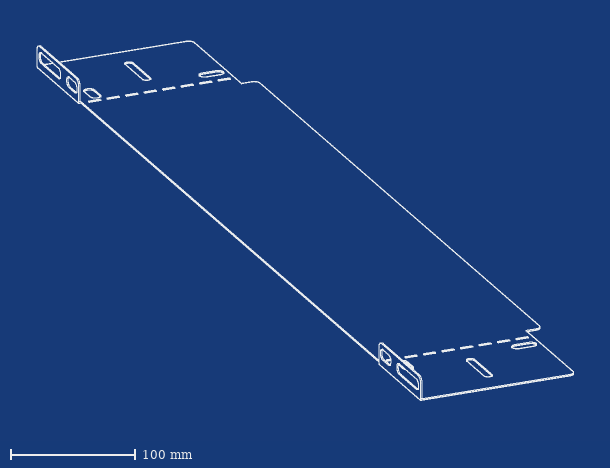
import cadquery as cq

length = 774.0
depth = 150.0
height = 20.0
thickness = 1.25

half_length = length / 2
tab_depth = 136.0
tongue_inset = 100.0
panel_front_gap = 2.0
corner_radius = 5.0

flange_length = 84.0
flange_hole_height = 11.0

slot_width = 9.0
short_slot_length = 21.0
short_slot_inset = 71.5
rear_slot_y = 122.0
front_slot_y = 17.5
middle_slot_length = 42.0
middle_slot_width = 7.0
middle_slot_inset = 42.5
middle_slot_y = 70.0
flange_slot_length = 44.0
flange_slot_inset = 26.0
short_flange_slot_inset = 70.5

perforation_count = 8
perforation_pitch = 16.25
perforation_length = 10.0
perforation_width = 2.0
perforation_gap = 2.5
perforation_inset = flange_length + perforation_gap
first_perforation_y = 13.0


def make_base():
    """Flat sheet with a set-back front edge and a rear tongue."""
    tongue_half = half_length - tongue_inset
    tongue_length = 2 * tongue_half
    panel_length = length - 2 * flange_length
    tabs = cq.Workplane("XY").box(length, tab_depth, thickness, centered=(True, False, False))
    tabs = tabs.edges("|Z and >Y").fillet(corner_radius)
    tongue = cq.Workplane("XY").box(tongue_length, depth, thickness, centered=(True, False, False))
    tongue = tongue.edges("|Z and >Y").fillet(corner_radius)
    front_gap = cq.Workplane("XY").box(
        panel_length, panel_front_gap, thickness, centered=(True, False, False)
    )
    return tabs.union(tongue).cut(front_gap)


def make_flange(side):
    """Upright flange on one end; side is -1 for the -X end and +1 for the +X end."""
    center_x = side * (half_length - flange_length / 2)
    flange = cq.Workplane("XY").box(flange_length, thickness, height, centered=(True, False, False))
    flange = flange.edges("|Y and >Z").fillet(corner_radius)
    return flange.translate((center_x, 0, 0))


def plate_slot(x, y, slot_length, width, angle=0):
    """Cutter for a slot through the flat sheet; angle 0 runs along X."""
    return cq.Workplane("XY").center(x, y).slot2D(slot_length, width, angle).extrude(thickness)


def flange_slot(x, slot_length):
    """Cutter for a slot through a flange, running along X."""
    plane = cq.Workplane("XZ").center(x, flange_hole_height)
    return plane.slot2D(slot_length, slot_width).extrude(-thickness)


def end_cutters(side):
    """All slots and perforations of one end."""
    short_slot_x = side * (half_length - short_slot_inset)
    middle_slot_x = side * (half_length - middle_slot_inset)
    flange_slot_x = side * (half_length - flange_slot_inset)
    short_flange_slot_x = side * (half_length - short_flange_slot_inset)
    perforation_x = side * (half_length - perforation_inset)
    cutters = [
        plate_slot(short_slot_x, rear_slot_y, short_slot_length, slot_width, angle=90),
        plate_slot(short_slot_x, front_slot_y, short_slot_length, slot_width),
        plate_slot(middle_slot_x, middle_slot_y, middle_slot_length, middle_slot_width),
        flange_slot(flange_slot_x, flange_slot_length),
        flange_slot(short_flange_slot_x, short_slot_length),
    ]
    for index in range(perforation_count):
        y = first_perforation_y + index * perforation_pitch
        perforation = cq.Workplane("XY").center(perforation_x, y)
        cutters.append(perforation.rect(perforation_width, perforation_length).extrude(thickness))
    return cutters


result = make_base()
for end_side in (-1, 1):
    result = result.union(make_flange(end_side))
    for cutter in end_cutters(end_side):
        result = result.cut(cutter)